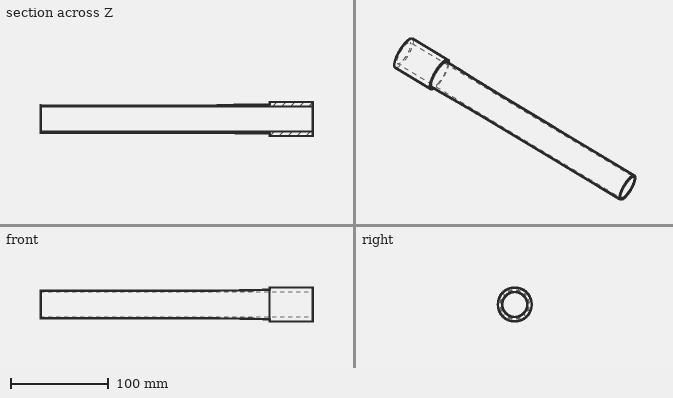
import cadquery as cq

total_length = 279.4
socket_length = 44.45
collar_length = 6.35
cone_length = 35.6
blend_length = 26.0

socket_start = total_length - socket_length
collar_start = socket_start - collar_length
cone_start = collar_start - cone_length
blend_start = cone_start - blend_length

bore_diameter = 25.4
tube_diameter = 28.575
collar_diameter = 30.3
socket_diameter = 34.925


def cone_start_radius():
    """Radius where the blend arc, tangent to the tube, runs on into the straight cone.

    A shallow tangent arc leaves its end at twice its chord slope, so it rises half
    as fast as the cone over its own length.
    """
    tube_radius = tube_diameter / 2
    rise = collar_diameter / 2 - tube_radius
    cone_slope = rise / (cone_length + blend_length / 2)
    return tube_radius + cone_slope * blend_length / 2


def revolved_body():
    """Tube, concave blend, cone, collar and socket around one straight bore."""
    bore_radius = bore_diameter / 2
    tube_radius = tube_diameter / 2
    collar_radius = collar_diameter / 2
    socket_radius = socket_diameter / 2

    wall_section = (
        cq.Workplane("XY")
        .moveTo(0, -bore_radius)
        .lineTo(0, -tube_radius)
        .lineTo(blend_start, -tube_radius)
        .tangentArcPoint((cone_start, -cone_start_radius()), relative=False)
        .lineTo(collar_start, -collar_radius)
        .lineTo(socket_start, -collar_radius)
        .lineTo(socket_start, -socket_radius)
        .lineTo(total_length, -socket_radius)
        .lineTo(total_length, -bore_radius)
        .close()
    )
    return wall_section.revolve(360, (0, 0, 0), (1, 0, 0))


result = revolved_body()